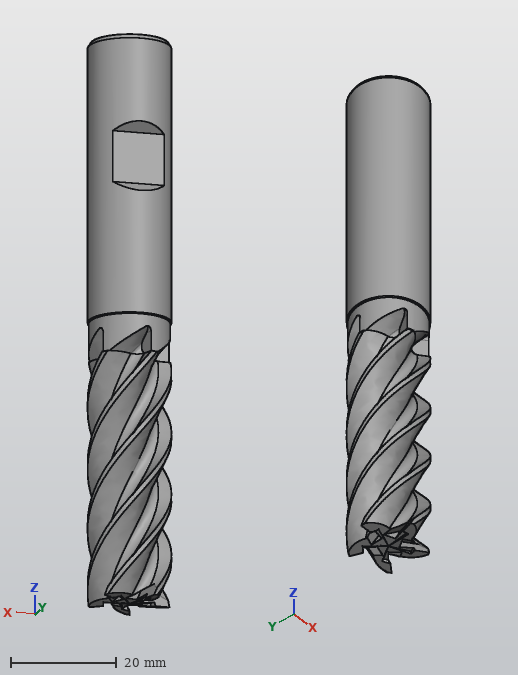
import cadquery as cq
import math

total_length = 110.0
tool_diameter = 16.0
tool_radius = tool_diameter / 2
head_length = 48.0

shank_start = 55.0
neck_diameter = 15.5
neck_radius = neck_diameter / 2
shoulder_chamfer = tool_radius - neck_radius
top_chamfer_width = 0.5
top_chamfer_height = 0.9
flat_offset = 6.2
flat_center_height = 86.0
flat_length = 10.0

tooth_count = 5
tooth_pitch = 360.0 / tooth_count
helix_lead = 60.0
first_edge_angle = 33.5
edge_angles = [first_edge_angle + tooth * tooth_pitch for tooth in range(tooth_count)]
land_angle = 9.0
back_mid_radius = 6.5
back_mid_angle = 24.0
floor_start_radius = 4.6
floor_start_angle = 43.2
floor_mid_radius = 4.4
floor_mid_angle = 57.0
rake_foot_radius = 5.5
rake_foot_angle = 71.0
corner_chamfer = 0.3

runout_height = 4.8
runout_lead = 31.9
runout_round = 0.9
runout_reach = 8.8
runout_overrun = 1.0

gash_height = 2.8
gash_angle = 4.0
gash_lean = 1.3
gash_width = 2.8
gash_inner_radius = 2.2
relief_height = 0.9
relief_width = 5.0


def polar(radius, angle):
    turn = math.radians(angle)
    return (radius * math.cos(turn), radius * math.sin(turn))


def helix_turn(height, lead):
    return 360.0 * height / lead


def add_flute(outline, edge_angle):
    """Draw one flute from the land of a tooth down its back, across the floor and up the next rake face."""
    return (
        outline.threePointArc(
            polar(back_mid_radius, edge_angle + back_mid_angle),
            polar(floor_start_radius, edge_angle + floor_start_angle),
        )
        .threePointArc(
            polar(floor_mid_radius, edge_angle + floor_mid_angle),
            polar(rake_foot_radius, edge_angle + rake_foot_angle),
        )
        .lineTo(*polar(tool_radius, edge_angle + tooth_pitch))
    )


def fluted_outline():
    """Cross-section of the cutting head at its end, tooth by tooth."""
    outline = cq.Workplane("XY").moveTo(*polar(tool_radius, first_edge_angle))
    for edge in edge_angles:
        outline = outline.threePointArc(
            polar(tool_radius, edge + land_angle / 2), polar(tool_radius, edge + land_angle)
        )
        outline = add_flute(outline, edge)
    return outline.close()


def flute_outline(edge_angle):
    """Cross-section of a single flute, closed along the outer circle."""
    start = polar(tool_radius, edge_angle + land_angle)
    middle = polar(tool_radius, edge_angle + (land_angle + tooth_pitch) / 2)
    outline = cq.Workplane("XY").moveTo(*start)
    return add_flute(outline, edge_angle).threePointArc(middle, start).close()


def radial_wedge(roof, inner_radius, angle):
    """Triangular prism that runs outward along a radial line; `roof` gives two corners as (across, up)."""
    return (
        cq.Workplane("YZ", origin=(inner_radius, 0, 0))
        .polyline([(0, 0), *roof])
        .close()
        .extrude(2 * tool_radius)
        .rotate((0, 0, 0), (0, 0, 1), angle)
    )


def gash(edge_angle):
    """Flat leaning wall that squares off the rake face, with a roof sloping down in front of it."""
    roof = [(gash_lean, gash_height), (-gash_width, 0)]
    return radial_wedge(roof, gash_inner_radius, edge_angle + gash_angle)


def end_relief(edge_angle):
    """Clearance that rises from the end cutting edge towards the heel of the tooth."""
    roof = [(relief_width, relief_height), (relief_width, 0)]
    return radial_wedge(roof, 0, edge_angle + gash_angle)


def make_head():
    """Cutting head: a twisted fluted bar with its end corners, gashes and reliefs ground."""
    head = fluted_outline().twistExtrude(head_length, helix_turn(head_length, helix_lead))
    envelope = cq.Workplane("XY").circle(tool_radius).extrude(head_length).faces("<Z").chamfer(corner_chamfer)
    head = head.intersect(envelope)
    for edge in edge_angles:
        head = head.cut(gash(edge)).cut(end_relief(edge))
    return head


def flute_runout(edge_angle):
    """End of a flute in the neck: an upright round-topped wall closes it while its back sweeps round."""
    start_angle = edge_angle + helix_turn(head_length, helix_lead)
    swept_height = runout_height + runout_overrun
    swept_flute = flute_outline(start_angle).twistExtrude(swept_height, helix_turn(swept_height, runout_lead))
    round_topped_limit = (
        cq.Workplane("XY")
        .box(runout_reach, runout_reach, 2 * runout_height)
        .edges(">Y and >Z")
        .fillet(runout_round)
        .translate((runout_reach / 2, -runout_reach / 2, 0))
        .rotate((0, 0, 0), (0, 0, 1), start_angle + tooth_pitch)
    )
    return swept_flute.intersect(round_topped_limit).translate((0, 0, head_length))


def clamping_flat():
    """Trapezoidal notch across the +Y side of the shank with 45 degree ends."""
    depth = tool_radius - flat_offset
    half = flat_length / 2
    return (
        cq.Workplane("YZ")
        .polyline(
            [
                (flat_offset, flat_center_height - half),
                (tool_radius, flat_center_height - half - depth),
                (tool_radius, flat_center_height + half + depth),
                (flat_offset, flat_center_height + half),
            ]
        )
        .close()
        .extrude(tool_radius, both=True)
    )


def make_shank():
    """Shank and neck turned in one piece, with the clamping flat and the flute run-outs."""
    profile = (
        cq.Workplane("XZ")
        .polyline(
            [
                (0, head_length),
                (neck_radius, head_length),
                (neck_radius, shank_start),
                (tool_radius, shank_start + shoulder_chamfer),
                (tool_radius, total_length - top_chamfer_height),
                (tool_radius - top_chamfer_width, total_length),
                (0, total_length),
            ]
        )
        .close()
    )
    blank = profile.revolve(360, (0, 0, 0), (0, 1, 0))
    shank = blank.cut(clamping_flat())
    for edge in edge_angles:
        shank = shank.cut(flute_runout(edge))
    return shank


shank = make_shank()
head = make_head()
result = cq.Compound.makeCompound([shank.val(), head.val()])